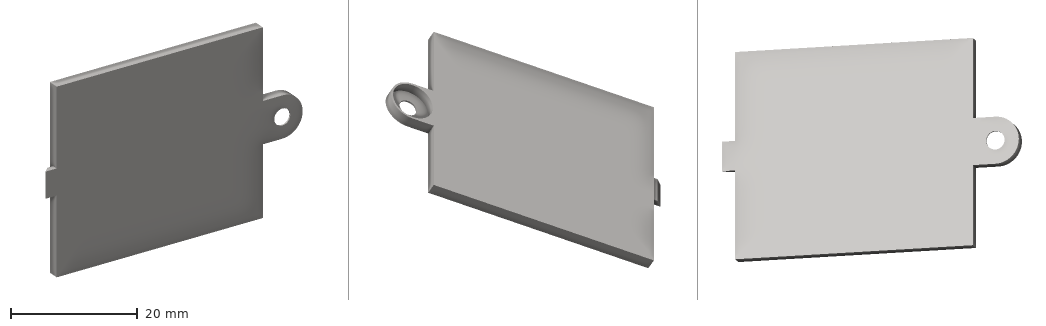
import cadquery as cq

total_length = 48.3
thickness = 2.0
plate_height = 33.6

lug_radius = 3.8
lug_reach = 7.5
counterbore_radius = 3.5
counterbore_depth = 1.7
screw_hole_radius = 1.5

catch_length = 2.15
catch_height = 4.8
catch_thickness = thickness / 2

plate_length = total_length - lug_reach - catch_length
lug_center_y = plate_length + lug_reach - lug_radius


def make_plate():
    """Flat cover with its -Y edge at Y = 0."""
    return cq.Workplane("XY").box(
        thickness, plate_length, plate_height, centered=(False, False, True)
    )


def make_lug():
    """Round-ended tab with a counterbored screw hole open to the -X face."""
    tab = (
        cq.Workplane("YZ")
        .moveTo(plate_length, -lug_radius)
        .lineTo(lug_center_y, -lug_radius)
        .threePointArc((lug_center_y + lug_radius, 0), (lug_center_y, lug_radius))
        .lineTo(plate_length, lug_radius)
        .close()
        .extrude(thickness)
    )
    lug_plane = cq.Workplane("YZ").center(lug_center_y, 0)
    counterbore = lug_plane.circle(counterbore_radius).extrude(counterbore_depth)
    screw_hole = lug_plane.circle(screw_hole_radius).extrude(thickness)
    return tab.cut(counterbore).cut(screw_hole)


def make_catch():
    """Half-thickness tongue flush with the +X face, with a 45 degree tip."""
    inner_x = thickness - catch_thickness
    bevel_start_y = -catch_length + catch_thickness
    return (
        cq.Workplane("XY")
        .moveTo(inner_x, 0)
        .lineTo(inner_x, bevel_start_y)
        .lineTo(thickness, -catch_length)
        .lineTo(thickness, 0)
        .close()
        .extrude(catch_height / 2, both=True)
    )


result = make_plate().union(make_lug()).union(make_catch())